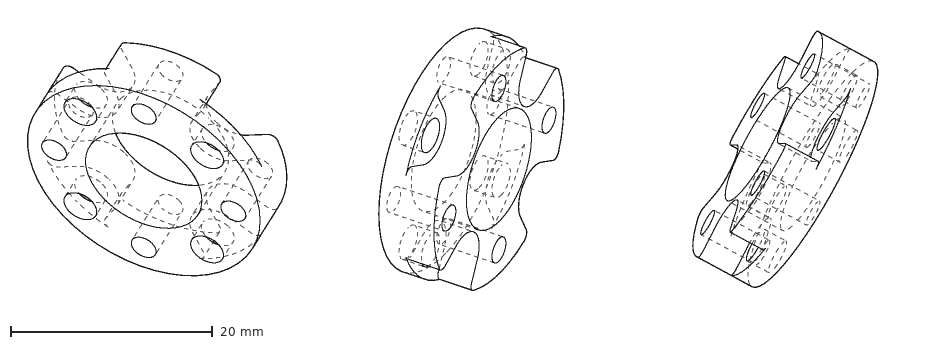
import cadquery as cq
import math

outer_diameter = 25.4
bore_diameter = 12.7
thickness = 6.35

pitch_radius = 9.78
small_hole_diameter = 2.72
large_hole_diameter = 3.58
holes_per_size = 4
large_hole_start_angle = 45.0

notch_depth = 3.8
notch_floor_radius = 3.05
notch_wall_angle = 18.0
notch_rim_fillet = 0.8

outer_radius = outer_diameter / 2
back_y = thickness / 2
notch_bottom_y = back_y - notch_depth


def y_cylinder(diameter):
    """Solid cylinder on the Y axis, as thick as the ring."""
    return cq.Workplane("XZ", origin=(0, back_y, 0)).circle(diameter / 2).extrude(thickness)


def cut_holes(body, diameter, start_angle):
    """Drill equally spaced through holes on the pitch circle."""
    hole = y_cylinder(diameter).translate((pitch_radius, 0, 0))
    for i in range(holes_per_size):
        angle = start_angle + i * 360 / holes_per_size
        body = body.cut(hole.rotate((0, 0, 0), (0, 1, 0), angle))
    return body


def make_notch():
    """Cutter along +X: a round floor with two straight walls flaring outward."""
    tilt = math.radians(notch_wall_angle)
    tangent_x = pitch_radius - notch_floor_radius * math.sin(tilt)
    tangent_z = notch_floor_radius * math.cos(tilt)
    mouth_x = outer_radius + notch_floor_radius
    mouth_z = tangent_z + (mouth_x - tangent_x) * math.tan(tilt)
    return (
        cq.Workplane("XZ", origin=(0, notch_bottom_y, 0))
        .moveTo(mouth_x, mouth_z)
        .lineTo(tangent_x, tangent_z)
        .threePointArc((pitch_radius - notch_floor_radius, 0), (tangent_x, -tangent_z))
        .lineTo(mouth_x, -mouth_z)
        .close()
        .extrude(-notch_depth)
    )


def cut_notches(body):
    """Cut the four notches and round their corners at the rim."""
    notch = make_notch()
    for i in range(holes_per_size):
        angle = large_hole_start_angle + i * 360 / holes_per_size
        body = body.cut(notch.rotate((0, 0, 0), (0, 1, 0), angle))
    rim_corners = [
        edge
        for edge in body.edges("|Y").vals()
        if math.isclose(edge.Length(), notch_depth, rel_tol=1e-4)
        and math.isclose(math.hypot(edge.Center().x, edge.Center().z), outer_radius, rel_tol=1e-4)
    ]
    return body.newObject(rim_corners).fillet(notch_rim_fillet)


result = y_cylinder(outer_diameter)
result = cut_notches(result)
result = result.cut(y_cylinder(bore_diameter))
result = cut_holes(result, small_hole_diameter, 0.0)
result = cut_holes(result, large_hole_diameter, large_hole_start_angle)